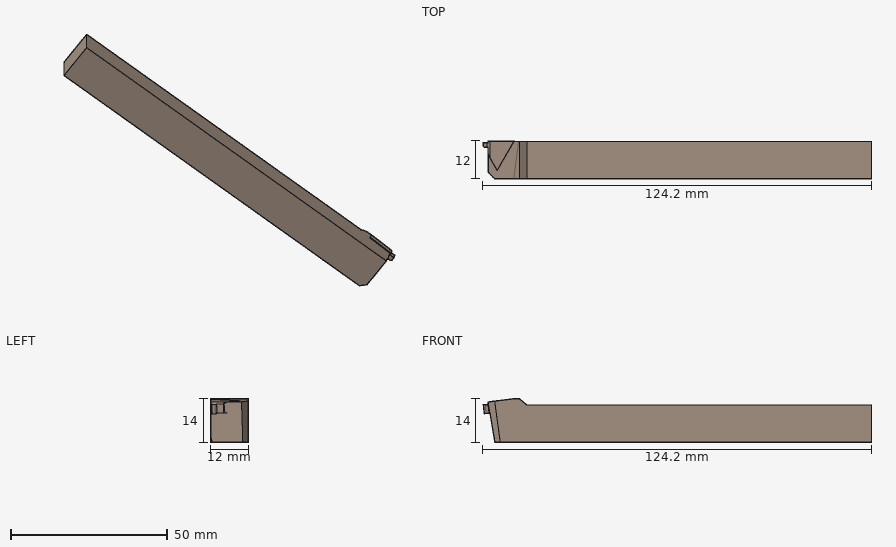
import cadquery as cq
import math

total_length = 124.21
shank_width = 12.0
shank_height = 12.0
head_height = 14.0

front_base_x = 3.72
front_relief_angle = 9.5
corner_chamfer_base = 1.75
corner_chamfer_top = 2.2
crest_start_x = 9.75
crest_end_x = 11.6
ramp_foot_x = 14.0
side_relief_width = 0.5
side_relief_height = 2.0

top_slope = math.radians(7.0)
top_skew = math.radians(7.6)

insert_thickness = 3.5
insert_side_y = 12.05
insert_apex_x = 4.5
insert_apex_y = 2.7
insert_half_angle = math.radians(30.0)
insert_front_x = 1.45
nose_width = 1.5
nose_center_y = 10.85
nose_corner_radius = 0.6
rake_height = 12.05
rake_back_x = 1.2
rake_slope = math.radians(42.0)

top_normal = cq.Vector(
    -math.sin(top_slope) * math.cos(top_skew),
    math.sin(top_slope) * math.sin(top_skew),
    math.cos(top_slope),
)
top_origin_z = head_height - crest_start_x * math.cos(top_skew) * math.tan(top_slope)
top_plane = cq.Plane(
    origin=(0, 0, top_origin_z),
    xDir=(top_normal.z, 0, -top_normal.x),
    normal=top_normal,
)


def head_outline(front_x, chamfer):
    """Plan outline of the whole holder at one level."""
    return [
        (front_x, shank_width),
        (front_x, chamfer),
        (front_x + chamfer, 0),
        (total_length, 0),
        (total_length, shank_width),
    ]


def holder_blank():
    """Full-height bar with a leaning front face and a chamfered front corner."""
    front_top_x = front_base_x - head_height * math.tan(math.radians(front_relief_angle))
    return (
        cq.Workplane("XY")
        .polyline(head_outline(front_base_x, corner_chamfer_base))
        .close()
        .workplane(offset=head_height)
        .polyline(head_outline(front_top_x, corner_chamfer_top))
        .close()
        .loft(ruled=True)
    )


def shank_clearance():
    """Space above the shank and above the ramp behind the crest."""
    return (
        cq.Workplane("XZ", origin=(0, shank_width, 0))
        .polyline([
            (crest_end_x, head_height),
            (ramp_foot_x, shank_height),
            (total_length, shank_height),
            (total_length, head_height),
        ])
        .close()
        .extrude(shank_width)
    )


def head_top_clearance():
    """Space above the sloped head top."""
    reach = 2 * shank_width
    return cq.Workplane(top_plane).rect(2 * reach, 2 * reach).extrude(head_height)


def side_relief():
    """Corner facet that fades out above the base."""
    lean = side_relief_height * math.tan(math.radians(front_relief_angle))
    front_point = cq.Vector(front_base_x, shank_width - side_relief_width, 0)
    side_point = cq.Vector(front_base_x + side_relief_width, shank_width, 0)
    upper_point = cq.Vector(front_base_x - lean, shank_width, side_relief_height)
    along_base = side_point - front_point
    outward = (upper_point - front_point).cross(along_base)
    relief_plane = cq.Plane(origin=front_point, xDir=along_base, normal=outward)
    reach = 2 * side_relief_height
    return cq.Workplane(relief_plane).rect(2 * reach, 2 * reach).extrude(reach)


def insert_blank():
    """Triangular plate with a truncated front and a round-cornered nose."""
    side_slope = math.tan(insert_half_angle)
    rear_x = insert_apex_x + (insert_side_y - insert_apex_y) * side_slope
    front_corner_y = insert_apex_y + (insert_apex_x - insert_front_x) / side_slope
    plate = (
        cq.Workplane(top_plane)
        .polyline([
            (insert_apex_x, insert_apex_y),
            (rear_x, insert_side_y),
            (insert_front_x, insert_side_y),
            (insert_front_x, front_corner_y),
        ])
        .close()
        .extrude(-insert_thickness)
    )
    tip_x = top_plane.toLocalCoords(cq.Vector(0, nose_center_y, rake_height)).x
    nose_length = insert_apex_x - tip_x
    nose = (
        cq.Workplane(top_plane)
        .center(tip_x + nose_length / 2, nose_center_y)
        .rect(nose_length, nose_width)
        .extrude(-insert_thickness)
        .edges(cq.selectors.ParallelDirSelector(top_normal))
        .edges("<X")
        .fillet(nose_corner_radius)
    )
    return plate.union(nose)


def chip_breaker():
    """Level cutting face on the nose, rising to the insert top behind it."""
    rise = head_height - rake_height
    return (
        cq.Workplane("XZ", origin=(0, insert_side_y, 0))
        .polyline([
            (-insert_front_x, rake_height),
            (rake_back_x, rake_height),
            (rake_back_x + rise / math.tan(rake_slope), head_height),
            (-insert_front_x, head_height),
        ])
        .close()
        .extrude(insert_side_y)
    )


insert_pocket = insert_blank()
insert = insert_pocket.cut(chip_breaker())

holder = holder_blank().cut(shank_clearance()).cut(head_top_clearance())
holder = holder.cut(side_relief()).cut(insert_pocket)

result = cq.Compound.makeCompound([*holder.solids().vals(), *insert.solids().vals()])